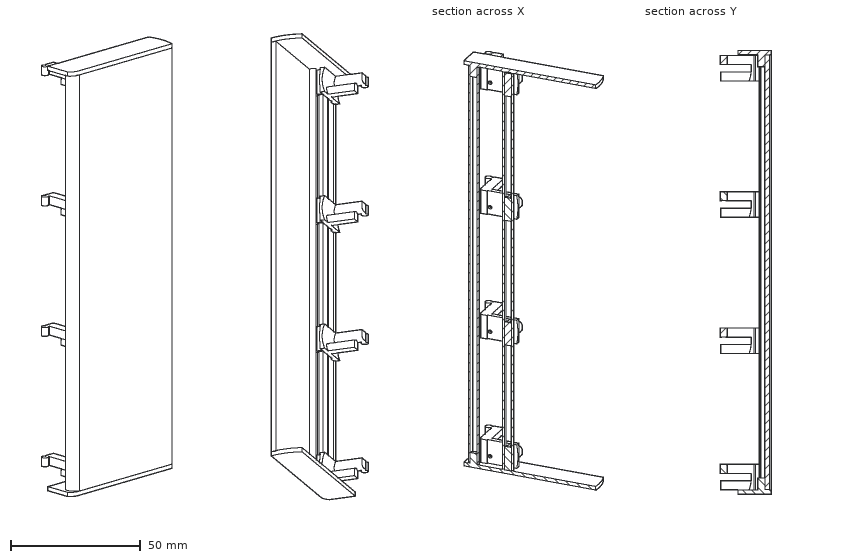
import cadquery as cq
import math

TOTAL_WIDTH = 19.7
TOTAL_HEIGHT = 170.9
CAP_THICKNESS = 1.7
PANEL_HEIGHT = TOTAL_HEIGHT - 2 * CAP_THICKNESS

CAP_WIDTH = 12.8
CAP_DEPTH = 55.9
CAP_CROWN = 1.0
CAP_CORNER_WIDTH = 2.0
CAP_CORNER_RADIUS = 4.5

CHANNEL_RADIUS = 1.4
BOSS_RADIUS = 2.4
NOSE_RADIUS = 0.77
FRONT_BOSS = (8.9, 4.1)
REAR_BOSS = (9.4, 18.6)
PEG_LENGTH = 4.6

SKIN_THICKNESS = 2.0
SKIN_BACK = CAP_WIDTH
SKIN_FACE = SKIN_BACK - SKIN_THICKNESS
SKIN_END = CAP_DEPTH - CAP_CROWN
BEVEL_ANGLE = 41.0
REAR_RIM = 8.5
FRONT_LIP_ROOT = 270.0 + BEVEL_ANGLE
FRONT_LIP_END = 218.0
REAR_LIP_ROOT = 0.0
REAR_LIP_END = 106.0

CLIP_COUNT = 4
CLIP_HEIGHT = 9.9
CLIP_PITCH = 52.5
PLATE_FRONT = 4.3
PLATE_HOLLOW = 0.9
PLATE_BACK = 6.2
PLATE_START = 5.5
PLATE_END = 21.0
PLATE_BULGE = 0.5
RIB_START = 6.0
RIB_END = 8.7
RIB_BACK = 6.7
NECK_WIDTH = 1.0
HOLE_DIAMETER = 1.4
HOLE_Y = 9.7
HOLE_Z = 3.0

FINGER_TIP = -6.7
ARM_WIDTH = 4.3
ARM_HEIGHT = 3.6
ARM_FILLET = 1.5
POST_DIAMETER = 2.7
POST_X = CAP_WIDTH - TOTAL_WIDTH + POST_DIAMETER / 2
POST_Y = 4.0
POST_WEB = 1.7
PRONG_Y = 15.7
PRONG_RADIUS = 1.9
PRONG_HEIGHT = 3.6


def polar(center, radius, angle):
    """Point at the given radius and angle (degrees from +X) around a center."""
    turn = math.radians(angle)
    return (center[0] + radius * math.cos(turn), center[1] + radius * math.sin(turn))


def disc(center, radius, height):
    """Upright cylinder standing on Z = 0."""
    return cq.Workplane("XY").center(*center).circle(radius).extrude(height)


def make_block(x_start, y_start, x_end, y_end, height):
    """Block standing on Z = 0 between two opposite corners."""
    block = cq.Workplane("XY").box(x_end - x_start, y_end - y_start, height, centered=False)
    return block.translate((x_start, y_start, 0))


def make_lip(center, root_angle, end_angle):
    """Curved lip along one side of a channel."""
    middle_angle = (end_angle + root_angle) / 2
    return (
        cq.Workplane("XY")
        .moveTo(*polar(center, BOSS_RADIUS, root_angle))
        .threePointArc(polar(center, BOSS_RADIUS, middle_angle), polar(center, BOSS_RADIUS, end_angle))
        .lineTo(*polar(center, CHANNEL_RADIUS, end_angle))
        .threePointArc(polar(center, CHANNEL_RADIUS, middle_angle), polar(center, CHANNEL_RADIUS, root_angle))
        .close()
        .extrude(PANEL_HEIGHT)
    )


def make_panel():
    """Extruded panel: flat skin, bevelled front edge and two open round channels."""
    bevel_start = polar(FRONT_BOSS, BOSS_RADIUS, FRONT_LIP_ROOT)
    bevel_rise = (SKIN_BACK - bevel_start[0]) * math.tan(math.radians(BEVEL_ANGLE))
    front_rim_end = FRONT_BOSS[1] + BOSS_RADIUS
    rear_rim_start = REAR_BOSS[1] - BOSS_RADIUS

    skin = make_block(SKIN_FACE, front_rim_end, SKIN_BACK, SKIN_END, PANEL_HEIGHT)
    front_edge = (
        cq.Workplane("XY")
        .moveTo(*bevel_start)
        .lineTo(SKIN_BACK, bevel_start[1] + bevel_rise)
        .lineTo(SKIN_BACK, front_rim_end)
        .lineTo(FRONT_BOSS[0], front_rim_end)
        .lineTo(*FRONT_BOSS)
        .close()
        .extrude(PANEL_HEIGHT)
    )
    rear_edge = make_block(REAR_RIM, rear_rim_start, SKIN_BACK, REAR_BOSS[1], PANEL_HEIGHT)
    rear_root = make_block(REAR_BOSS[0], REAR_BOSS[1], SKIN_BACK, REAR_BOSS[1] + CHANNEL_RADIUS, PANEL_HEIGHT)

    front_lip = make_lip(FRONT_BOSS, FRONT_LIP_ROOT, FRONT_LIP_END)
    rear_lip = make_lip(REAR_BOSS, REAR_LIP_ROOT, REAR_LIP_END)
    rear_nose = disc(polar(REAR_BOSS, BOSS_RADIUS - NOSE_RADIUS, REAR_LIP_END), NOSE_RADIUS, PANEL_HEIGHT)

    panel = skin
    for part in (front_edge, front_lip, rear_edge, rear_root, rear_lip, rear_nose):
        panel = panel.union(part)
    for center in (FRONT_BOSS, REAR_BOSS):
        panel = panel.cut(disc(center, CHANNEL_RADIUS, PANEL_HEIGHT))
    return panel.translate((0, 0, CAP_THICKNESS))


def make_cap(outer_z, inward):
    """End cap with a peg; `inward` is +1 for the lower cap and -1 for the upper one."""
    corner_center = (CAP_WIDTH - CAP_CORNER_RADIUS, 0)
    corner_start = (CAP_WIDTH - CAP_CORNER_WIDTH, 0)
    inset = corner_start[0] - corner_center[0]
    corner_rise = math.sqrt(CAP_CORNER_RADIUS**2 - inset**2)
    cap = (
        cq.Workplane("XY")
        .lineTo(*corner_start)
        .radiusArc((CAP_WIDTH, corner_rise), -CAP_CORNER_RADIUS)
        .lineTo(CAP_WIDTH, SKIN_END)
        .threePointArc((CAP_WIDTH / 2, CAP_DEPTH), (0, SKIN_END))
        .close()
        .extrude(inward * CAP_THICKNESS)
    )
    peg = disc(FRONT_BOSS, CHANNEL_RADIUS, inward * (CAP_THICKNESS + PEG_LENGTH))
    return cap.union(peg).translate((0, 0, outer_z))


def make_plate():
    """Clip plate with a hollow front face, a bulging +Y end and a small through hole."""
    middle_z = CLIP_HEIGHT / 2
    section = (
        cq.Workplane("XZ", origin=(0, PLATE_START, 0))
        .moveTo(PLATE_BACK, 0)
        .lineTo(PLATE_FRONT, 0)
        .threePointArc((PLATE_FRONT + PLATE_HOLLOW, middle_z), (PLATE_FRONT, CLIP_HEIGHT))
        .lineTo(PLATE_BACK, CLIP_HEIGHT)
        .close()
        .extrude(-(PLATE_END + PLATE_BULGE - PLATE_START))
    )
    outline = (
        cq.Workplane("YZ")
        .moveTo(PLATE_START, 0)
        .lineTo(PLATE_END, 0)
        .threePointArc((PLATE_END + PLATE_BULGE, middle_z), (PLATE_END, CLIP_HEIGHT))
        .lineTo(PLATE_START, CLIP_HEIGHT)
        .close()
        .extrude(PLATE_BACK)
    )
    hole = cq.Workplane("YZ").center(HOLE_Y, HOLE_Z).circle(HOLE_DIAMETER / 2).extrude(PLATE_BACK)
    return section.intersect(outline).cut(hole)


def make_arm():
    """Upper arm, rounded along one lower edge, with a round post webbed to its tip."""
    length = PLATE_BACK - FINGER_TIP
    bottom = CLIP_HEIGHT - ARM_HEIGHT
    arm = (
        cq.Workplane("XY")
        .box(length, ARM_WIDTH, ARM_HEIGHT, centered=False)
        .edges("|X and >Y and <Z")
        .fillet(ARM_FILLET)
        .translate((FINGER_TIP, PLATE_START, bottom))
    )
    web_start = POST_X - POST_WEB / 2
    web = make_block(web_start, POST_Y, web_start + POST_WEB, PLATE_START, ARM_HEIGHT)
    post = disc((POST_X, POST_Y), POST_DIAMETER / 2, ARM_HEIGHT).union(web)
    return arm.union(post.translate((0, 0, bottom)))


def make_prong():
    """Lower prong with a flat underside and a half-round top."""
    shoulder = PRONG_HEIGHT - PRONG_RADIUS
    return (
        cq.Workplane("YZ", origin=(FINGER_TIP, 0, 0))
        .moveTo(PRONG_Y - PRONG_RADIUS, 0)
        .lineTo(PRONG_Y + PRONG_RADIUS, 0)
        .lineTo(PRONG_Y + PRONG_RADIUS, shoulder)
        .threePointArc((PRONG_Y, PRONG_HEIGHT), (PRONG_Y - PRONG_RADIUS, shoulder))
        .close()
        .extrude(PLATE_BACK - FINGER_TIP)
    )


def make_foot():
    """Bead that runs in the rear channel, joined to the plate by a thin neck."""
    center_x, center_y = REAR_BOSS
    neck_start = center_y - NECK_WIDTH / 2
    neck = make_block(PLATE_BACK, neck_start, center_x, neck_start + NECK_WIDTH, CLIP_HEIGHT)
    return disc(REAR_BOSS, CHANNEL_RADIUS, CLIP_HEIGHT).union(neck)


def make_clip(bottom_z):
    rib = make_block(PLATE_BACK, RIB_START, RIB_BACK, RIB_END, CLIP_HEIGHT)
    clip = make_plate()
    for part in (make_arm(), make_prong(), make_foot(), rib):
        clip = clip.union(part)
    return clip.translate((0, 0, bottom_z))


panel = make_panel()
lower_cap = make_cap(0, 1)
upper_cap = make_cap(TOTAL_HEIGHT, -1)
clips = [make_clip(CAP_THICKNESS + index * CLIP_PITCH) for index in range(CLIP_COUNT)]

result = cq.Compound.makeCompound(
    [panel.val(), lower_cap.val(), upper_cap.val(), *[clip.val() for clip in clips]]
)